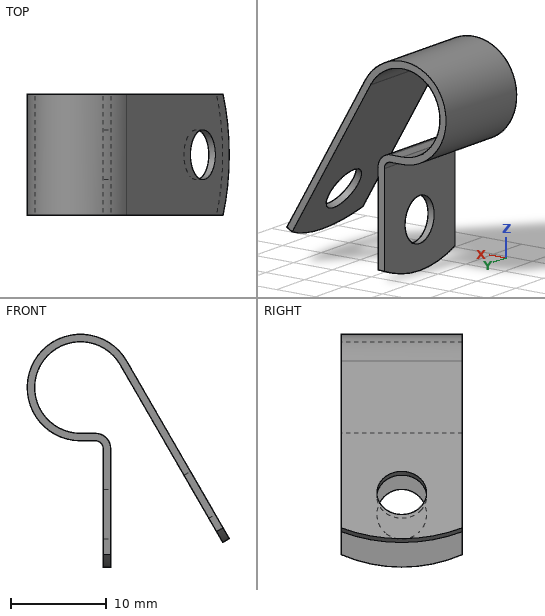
import cadquery as cq
import math

width = 12.7
thickness = 0.8
loop_radius = 5.58
arm_slope = 60
arm_length = 21.47
total_height = 24.37
leg_face_x = 2.36
bend_radius = 0.8
hole_diameter = 5.2
hole_to_tip = 5.53
tip_rise = 1.32

inner_radius = loop_radius - thickness
bend_outer_radius = bend_radius + thickness
bend_x = leg_face_x - bend_radius
bend_z = -loop_radius - bend_radius
leg_length = total_height - loop_radius + bend_z
tangent_angle = 90 - arm_slope


def polar(radius, angle, center=(0, 0)):
    """Point in the XZ plane at an angle in degrees from +X."""
    a = math.radians(angle)
    return (center[0] + radius * math.cos(a), center[1] + radius * math.sin(a))


def make_loop():
    """Loop, short flat stretch and bend, ending where the two blades begin."""
    middle = (tangent_angle + 270) / 2
    bend = (bend_x, bend_z)
    return (
        cq.Workplane("XZ")
        .moveTo(*polar(loop_radius, tangent_angle))
        .threePointArc(polar(loop_radius, middle), (0, -loop_radius))
        .lineTo(bend_x, -loop_radius)
        .threePointArc(polar(bend_radius, 45, bend), polar(bend_radius, 0, bend))
        .lineTo(*polar(bend_outer_radius, 0, bend))
        .threePointArc(polar(bend_outer_radius, 45, bend), polar(bend_outer_radius, 90, bend))
        .lineTo(0, -inner_radius)
        .threePointArc(polar(inner_radius, middle), polar(inner_radius, tangent_angle))
        .close()
        .extrude(width / 2, both=True)
    )


def make_blade(start, slope, length):
    """Flat blade with a rounded tip and a hole, its outer face through start."""
    a = math.radians(slope)
    plane = cq.Plane(
        origin=(start[0], 0, start[1]),
        xDir=(math.cos(a), 0, -math.sin(a)),
        normal=(-math.sin(a), 0, -math.cos(a)),
    )
    corner = length - tip_rise
    blade = (
        cq.Workplane(plane)
        .moveTo(0, -width / 2)
        .lineTo(corner, -width / 2)
        .threePointArc((length, 0), (corner, width / 2))
        .lineTo(0, width / 2)
        .close()
        .extrude(thickness)
    )
    hole = (
        cq.Workplane(plane)
        .center(length - hole_to_tip, 0)
        .circle(hole_diameter / 2)
        .extrude(thickness)
    )
    return blade.cut(hole)


arm = make_blade(polar(loop_radius, tangent_angle), arm_slope, arm_length)
leg = make_blade((leg_face_x + thickness, bend_z), 90, leg_length)

result = make_loop().union(arm).union(leg)